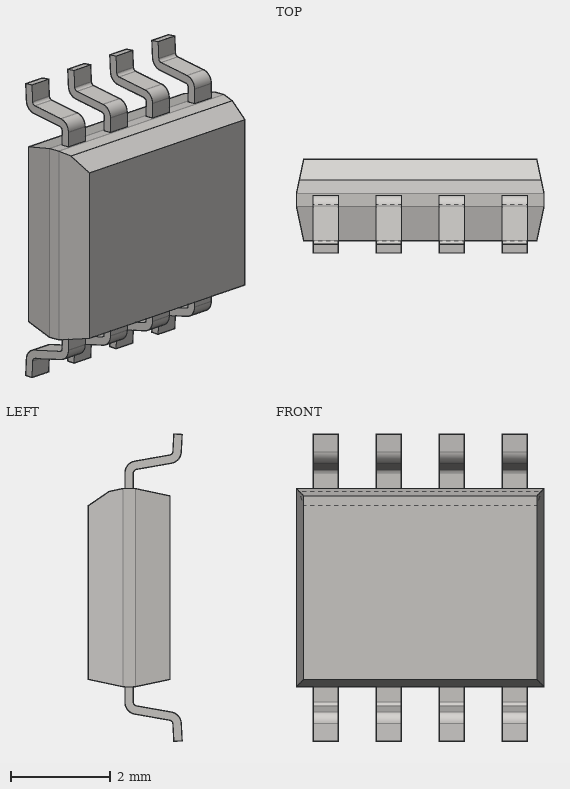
import cadquery as cq
import math


body_width = 5.0
body_height = 4.0
body_front = 0.25
body_back = 1.9
band_thickness = 0.255
draft_angle = 12.0
chamfer_back_drop = 0.35
chamfer_depth = 0.42

span = 6.2
leads_per_side = 4
lead_pitch = 1.27
lead_width = 0.51
lead_thickness = 0.175
inner_bend_radius = 0.075
foot_length = 0.485
foot_tilt = math.radians(3.0)
shank_slope = math.radians(10.0)
root_embed = 0.185

body_middle = (body_front + body_back) / 2
half_depth = (body_back - body_front - band_thickness) / 2
half_thickness = lead_thickness / 2
outer_bend_radius = inner_bend_radius + lead_thickness


def tapered_half(direction):
    """Half body that narrows from the band towards direction (+1 for +Y, -1 for -Y)."""
    base = cq.Plane(
        origin=(0, body_middle + direction * band_thickness / 2, 0),
        xDir=(1, 0, 0),
        normal=(0, direction, 0),
    )
    return cq.Workplane(base).rect(body_width, body_height).extrude(half_depth, taper=draft_angle)


def make_body():
    band = cq.Workplane("XY").box(body_width, band_thickness, body_height)
    body = band.translate((0, body_middle, 0)).union(tapered_half(1)).union(tapered_half(-1))

    top = body_height / 2
    draft_drop = (half_depth - chamfer_depth) * math.tan(math.radians(draft_angle))
    chamfer = (
        cq.Workplane("YZ")
        .moveTo(body_back, top - chamfer_back_drop)
        .lineTo(body_back - chamfer_depth, top - draft_drop)
        .lineTo(body_back - chamfer_depth, top)
        .lineTo(body_back, top)
        .close()
        .extrude(body_width / 2, both=True)
    )
    return body.cut(chamfer)


def left_normal(heading):
    """Unit normal to the left of a heading angle, as (Y, Z)."""
    return (-math.sin(heading), math.cos(heading))


def offset_corner(point, heading_in, heading_out, distance):
    """Corner of the line parallel to the centreline, distance to its left."""
    normal_in = left_normal(heading_in)
    normal_out = left_normal(heading_out)
    reach = distance / (1 + math.cos(heading_out - heading_in))
    return (
        point[0] + reach * (normal_in[0] + normal_out[0]),
        point[1] + reach * (normal_in[1] + normal_out[1]),
    )


def make_lead():
    """One upper lead, centred on X = 0."""
    root_heading = math.pi / 2
    shank_heading = math.pi - shank_slope
    foot_heading = math.pi / 2 + foot_tilt

    root = (body_middle, body_height / 2 - root_embed)
    tip = (
        half_thickness * math.cos(foot_tilt),
        span / 2 - half_thickness * math.sin(foot_tilt),
    )
    foot_bend = (
        tip[0] + foot_length * math.sin(foot_tilt),
        tip[1] - foot_length * math.cos(foot_tilt),
    )
    root_bend = (
        body_middle,
        foot_bend[1] - (body_middle - foot_bend[0]) * math.tan(shank_slope),
    )

    def side(distance):
        return [
            offset_corner(root, root_heading, root_heading, distance),
            offset_corner(root_bend, root_heading, shank_heading, distance),
            offset_corner(foot_bend, shank_heading, foot_heading, distance),
            offset_corner(tip, foot_heading, foot_heading, distance),
        ]

    left = side(half_thickness)
    right = side(-half_thickness)
    lead = (
        cq.Workplane("YZ")
        .polyline(left + right[::-1])
        .close()
        .extrude(lead_width / 2, both=True)
    )

    for corner, radius in (
        (left[1], inner_bend_radius),
        (right[1], outer_bend_radius),
        (right[2], inner_bend_radius),
        (left[2], outer_bend_radius),
    ):
        edge = cq.selectors.NearestToPointSelector((0, corner[0], corner[1]))
        lead = lead.edges("|X").edges(edge).fillet(radius)
    return lead


result = make_body()
upper_lead = make_lead()
lower_lead = upper_lead.mirror("XY")
for index in range(leads_per_side):
    lead_x = (index - (leads_per_side - 1) / 2) * lead_pitch
    result = result.union(upper_lead.translate((lead_x, 0, 0)))
    result = result.union(lower_lead.translate((lead_x, 0, 0)))